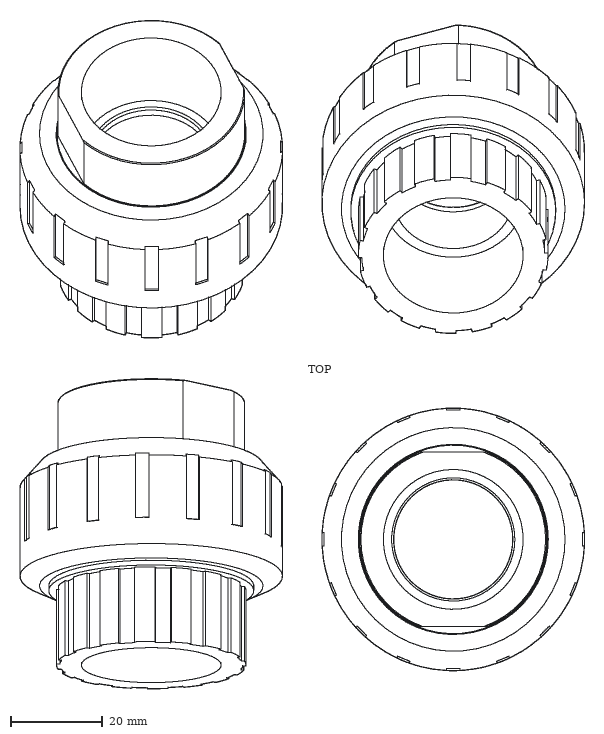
import cadquery as cq


TOTAL_HEIGHT = 59.5
SHOULDER_BOTTOM_Z = 16.85
NUT_BOTTOM_Z = 17.9
NUT_CHAMFER_TOP_Z = 20.05
GROOVE_BOTTOM_Z = 26.0
JOINT_Z = 35.7
NUT_CONE_BOTTOM_Z = 40.1
NUT_TOP_Z = 45.1

SOCKET_DIAMETER = 30.6
SOCKET_DEPTH = 21.55
BORE_DIAMETER = 26.0
BORE_CHAMFER = 0.5

NUT_DIAMETER = 57.5
NUT_FACE_DIAMETER = 48.9
NUT_MOUTH_DIAMETER = 41.6
GROOVE_COUNT = 16
GROOVE_WIDTH = 2.9
GROOVE_DEPTH = 0.5

UPPER_DIAMETER = 40.9
UPPER_RIM_CHAMFER = 0.25
HUB_DIAMETER = 41.25
WIDTH_ACROSS_FLATS = 38.15

SHOULDER_DIAMETER = 44.85

LOWER_ROOT_DIAMETER = 40.05
LOWER_RIB_DIAMETER = 41.5
LOWER_RIB_WIDTH = 4.5
LOWER_RIB_COUNT = GROOVE_COUNT


def cylinder(diameter, bottom_z, top_z):
    """Upright cylinder on the Z axis between two levels."""
    return cq.Workplane("XY").workplane(offset=bottom_z).circle(diameter / 2).extrude(top_z - bottom_z)


def around_axis(shape, count):
    """Equally spaced copies of a shape around the Z axis, the first one in place."""
    copies = cq.Workplane("XY")
    for index in range(count):
        copies = copies.add(shape.rotate((0, 0, 0), (0, 0, 1), index * 360 / count))
    return copies.vals()


def make_nut():
    """Nut with a conical top, a chamfered foot and grip grooves around its side."""
    outer_radius = NUT_DIAMETER / 2
    face_radius = NUT_FACE_DIAMETER / 2
    bore_radius = SHOULDER_DIAMETER / 2
    mouth_radius = NUT_MOUTH_DIAMETER / 2
    profile = [
        (bore_radius, NUT_BOTTOM_Z),
        (face_radius, NUT_BOTTOM_Z),
        (outer_radius, NUT_CHAMFER_TOP_Z),
        (outer_radius, NUT_CONE_BOTTOM_Z),
        (face_radius, NUT_TOP_Z),
        (mouth_radius, NUT_TOP_Z),
        (mouth_radius, NUT_CONE_BOTTOM_Z),
        (bore_radius, NUT_CONE_BOTTOM_Z),
    ]
    nut = cq.Workplane("XZ").polyline(profile).close().revolve(360, (0, 0, 0), (0, 1, 0))

    groove_height = NUT_TOP_Z - GROOVE_BOTTOM_Z
    groove = (
        cq.Workplane("XY")
        .box(2 * GROOVE_DEPTH, GROOVE_WIDTH, groove_height, centered=(True, True, False))
        .translate((outer_radius, 0, GROOVE_BOTTOM_Z))
        .cut(cylinder(NUT_DIAMETER - 2 * GROOVE_DEPTH, GROOVE_BOTTOM_Z, NUT_TOP_Z))
    )
    for cutter in around_axis(groove.val(), GROOVE_COUNT):
        nut = nut.cut(cq.Workplane(cutter))
    return nut


def make_upper_end():
    """Flatted pipe socket with a hub in the nut mouth and a collar under the nut lip."""
    spigot = cylinder(UPPER_DIAMETER, NUT_TOP_Z, TOTAL_HEIGHT).faces(">Z").chamfer(UPPER_RIM_CHAMFER)
    across_flats = cq.Workplane("XY").box(
        HUB_DIAMETER, WIDTH_ACROSS_FLATS, TOTAL_HEIGHT, centered=(True, True, False)
    )
    hub = cylinder(HUB_DIAMETER, NUT_CONE_BOTTOM_Z, NUT_TOP_Z)
    collar = cylinder(SHOULDER_DIAMETER, JOINT_Z, NUT_CONE_BOTTOM_Z)
    body = spigot.intersect(across_flats).union(hub).union(collar)

    socket_floor_z = TOTAL_HEIGHT - SOCKET_DEPTH
    bore_radius = BORE_DIAMETER / 2
    passage_profile = [
        (0, JOINT_Z),
        (bore_radius, JOINT_Z),
        (bore_radius, socket_floor_z - BORE_CHAMFER),
        (bore_radius + BORE_CHAMFER, socket_floor_z),
        (SOCKET_DIAMETER / 2, socket_floor_z),
        (SOCKET_DIAMETER / 2, TOTAL_HEIGHT),
        (0, TOTAL_HEIGHT),
    ]
    passage = cq.Workplane("XZ").polyline(passage_profile).close().revolve(360, (0, 0, 0), (0, 1, 0))
    return body.cut(passage)


def make_lower_end():
    """Ribbed pipe socket with a shoulder that goes up into the nut bore."""
    body = cylinder(LOWER_ROOT_DIAMETER, 0, SHOULDER_BOTTOM_Z)
    rib = cq.Workplane("XY").box(
        LOWER_RIB_DIAMETER / 2, LOWER_RIB_WIDTH, SHOULDER_BOTTOM_Z, centered=(False, True, False)
    )
    rib = rib.intersect(cylinder(LOWER_RIB_DIAMETER, 0, SHOULDER_BOTTOM_Z))
    for copy in around_axis(rib.val(), LOWER_RIB_COUNT):
        body = body.union(cq.Workplane(copy))
    body = body.union(cylinder(SHOULDER_DIAMETER, SHOULDER_BOTTOM_Z, JOINT_Z))
    socket = cylinder(SOCKET_DIAMETER, 0, SOCKET_DEPTH)
    bore = cylinder(BORE_DIAMETER, SOCKET_DEPTH, JOINT_Z)
    return body.cut(socket).cut(bore)


nut = make_nut()
upper_end = make_upper_end()
lower_end = make_lower_end()
result = cq.Compound.makeCompound([nut.val(), upper_end.val(), lower_end.val()])